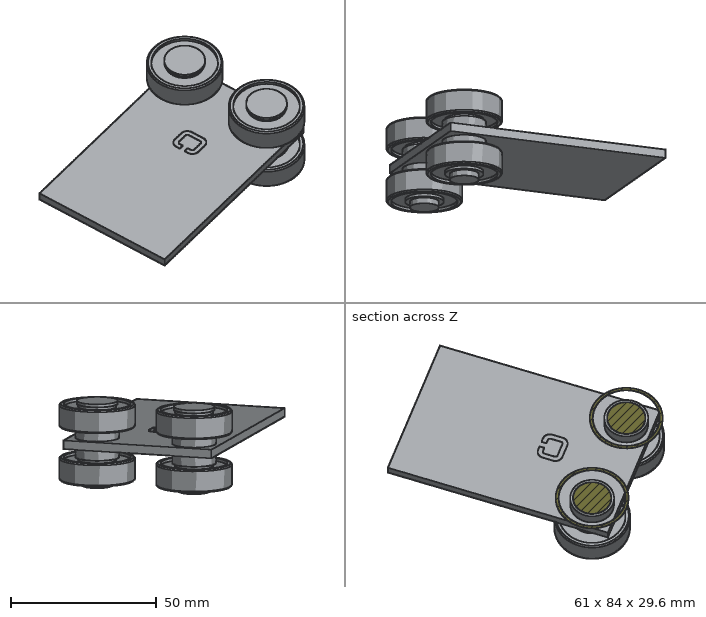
import cadquery as cq

overall_width = 61.0
overall_length = 84.0
overall_height = 29.6

wheel_diameter = 26.0
wheel_width = 8.0
wheel_chamfer = 0.5
recess_diameter = 22.8
recess_depth = 1.0
hub_diameter = 13.2

axle_diameter = 10.0
spacer_diameter = 15.0
head_diameter = 14.0
head_height = 1.1

plate_width = 53.4
plate_length = 79.9
plate_thickness = 3.0
spacer_gap = 3.8

groove_outer_width = 10.0
groove_outer_length = 8.8
groove_line_width = 1.8
groove_outer_radius = 2.5
groove_mouth_width = 2.0
groove_depth = 0.2
groove_top_offset = 25.1

axle_x = (overall_width - wheel_diameter) / 2
plate_end_y = wheel_diameter / 2 - overall_length
plate_wheel_end_y = plate_end_y + plate_length
wheel_inner_z = plate_thickness / 2 + spacer_gap
wheel_outer_z = wheel_inner_z + wheel_width
head_top_z = wheel_outer_z + head_height
axle_bottom_z = head_top_z - overall_height


def cylinder(diameter, bottom_z, top_z):
    """Cylinder on the Z axis between two heights."""
    return cq.Workplane("XY").workplane(offset=bottom_z).circle(diameter / 2).extrude(top_z - bottom_z)


def make_wheel(bottom_z):
    """Chamfered wheel with a recess in both faces around a flush hub."""
    top_z = bottom_z + wheel_width
    wheel = cylinder(wheel_diameter, bottom_z, top_z).edges().chamfer(wheel_chamfer)
    wheel = wheel.cut(cylinder(recess_diameter, top_z - recess_depth, top_z))
    wheel = wheel.cut(cylinder(recess_diameter, bottom_z, bottom_z + recess_depth))
    return wheel.union(cylinder(hub_diameter, bottom_z, top_z))


def make_wheel_pair():
    """Upper and lower wheel on a headed axle, with spacers to the plate."""
    return (
        make_wheel(wheel_inner_z)
        .union(make_wheel(-wheel_outer_z))
        .union(cylinder(spacer_diameter, -wheel_inner_z, wheel_inner_z))
        .union(cylinder(axle_diameter, axle_bottom_z, wheel_outer_z))
        .union(cylinder(head_diameter, wheel_outer_z, head_top_z))
    )


def make_plate():
    """Flat rectangular plate below the axle line."""
    center_y = (plate_end_y + plate_wheel_end_y) / 2
    return cq.Workplane("XY").box(plate_width, plate_length, plate_thickness).translate((0, center_y, 0))


def make_groove():
    """Rounded C outline, open toward the far end of the plate."""
    center_y = plate_wheel_end_y - groove_top_offset - groove_outer_length / 2
    floor_z = plate_thickness / 2 - groove_depth
    base = cq.Workplane("XY").workplane(offset=floor_z).center(0, center_y)
    inner_width = groove_outer_width - 2 * groove_line_width
    inner_length = groove_outer_length - 2 * groove_line_width
    inner_radius = groove_outer_radius - groove_line_width
    outer = base.rect(groove_outer_width, groove_outer_length).extrude(groove_depth)
    inner = base.rect(inner_width, inner_length).extrude(groove_depth)
    mouth_y = (groove_line_width - groove_outer_length) / 2
    mouth = base.center(0, mouth_y).rect(groove_mouth_width, groove_line_width).extrude(groove_depth)
    ring = outer.edges("|Z").fillet(groove_outer_radius).cut(inner.edges("|Z").fillet(inner_radius))
    return ring.cut(mouth)


result = make_plate().cut(make_groove())
for x in (-axle_x, axle_x):
    result = result.union(make_wheel_pair().translate((x, 0, 0)))